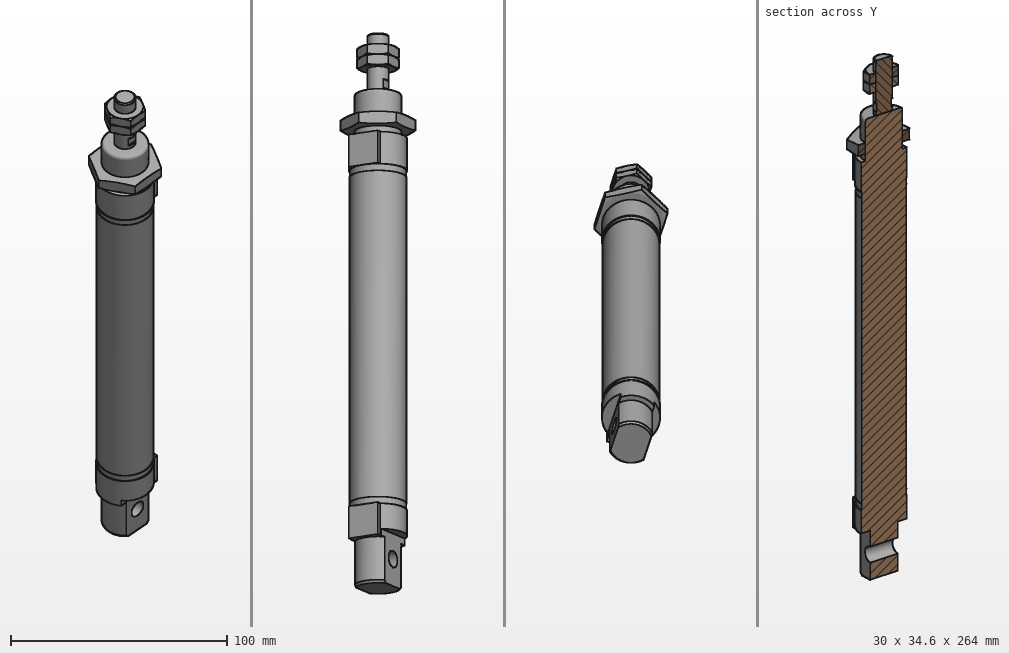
import cadquery as cq
import math

REAR_CAP_BOTTOM = 22.0
REAR_GROOVE_BOTTOM = 37.2
FRONT_CAP_TOP = 214.5
COLLAR_TOP = 236.0
ROD_TOP = 264.0

CAP_DIAMETER = 27.0
TUBE_DIAMETER = 26.5
GROOVE_DIAMETER = 26.1
GROOVE_WIDTH = 3.2
COLLAR_DIAMETER = 22.0
CLEVIS_FACE_DIAMETER = 20.3
CLEVIS_CHAMFER_HEIGHT = 1.3
COLLAR_FILLET = 1.5
CLEVIS_THICKNESS = 16.0
CLEVIS_FLAT_TOP = 25.0
PIN_HOLE_DIAMETER = 8.0
PIN_HOLE_HEIGHT = 13.0
PORT_PAD_WIDTH = 15.5
CAP_LENGTH = REAR_GROOVE_BOTTOM - REAR_CAP_BOTTOM
FRONT_GROOVE_BOTTOM = FRONT_CAP_TOP - CAP_LENGTH - GROOVE_WIDTH

ROD_DIAMETER = 10.0
ROD_TIP_DIAMETER = 8.7
WRENCH_FLAT_BOTTOM = 237.9
WRENCH_FLAT_HEIGHT = 4.2
WRENCH_FLAT_THICKNESS = 8.7

MOUNTING_NUT_FLATS = 30.0
MOUNTING_NUT_BOTTOM = 218.0
MOUNTING_NUT_HEIGHT = 5.8
ROD_NUT_FLATS = 17.0
ROD_NUT_BOTTOM = 248.0
ROD_NUT_HEIGHT = 5.0
ROD_NUT_COUNT = 2
NUT_CHAMFER_HEIGHT = 0.5


def cylinder(diameter, bottom, top):
    return cq.Workplane("XY", origin=(0, 0, bottom)).circle(diameter / 2).extrude(top - bottom)


def centred_box(x_size, y_size, bottom, top):
    return cq.Workplane("XY", origin=(0, 0, bottom)).rect(x_size, y_size).extrude(top - bottom)


def barrel():
    """Tube between two slightly larger caps, with a shallow groove at each end of the tube."""
    rear_cap = cylinder(CAP_DIAMETER, REAR_CAP_BOTTOM, REAR_GROOVE_BOTTOM)
    front_cap = cylinder(CAP_DIAMETER, FRONT_GROOVE_BOTTOM + GROOVE_WIDTH, FRONT_CAP_TOP)
    tube = cylinder(TUBE_DIAMETER, REAR_GROOVE_BOTTOM + GROOVE_WIDTH, FRONT_GROOVE_BOTTOM)
    grooved_core = cylinder(GROOVE_DIAMETER, REAR_GROOVE_BOTTOM, FRONT_GROOVE_BOTTOM + GROOVE_WIDTH)
    return grooved_core.union(tube).union(rear_cap).union(front_cap)


def port_pad(bottom):
    """Flat pad on the +Y side of a cap, level with the outside of the cap."""
    reach = CAP_DIAMETER / 2
    pad = cq.Workplane("XY", origin=(0, reach / 2, bottom))
    return pad.rect(PORT_PAD_WIDTH, reach).extrude(CAP_LENGTH)


def neck_profile():
    """Half section of the mounting collar and clevis stem, rounded at the top, chamfered below."""
    radius = COLLAR_DIAMETER / 2
    face_radius = CLEVIS_FACE_DIAMETER / 2
    return (
        cq.Workplane("XZ")
        .moveTo(0, 0)
        .lineTo(face_radius, 0)
        .lineTo(radius, CLEVIS_CHAMFER_HEIGHT)
        .lineTo(radius, COLLAR_TOP - COLLAR_FILLET)
        .radiusArc((radius - COLLAR_FILLET, COLLAR_TOP), -COLLAR_FILLET)
        .lineTo(0, COLLAR_TOP)
        .close()
    )


def clevis_cuts():
    """Material removed on both X sides to leave the flat clevis, and its pin hole."""
    outside = centred_box(2 * CAP_DIAMETER, 2 * CAP_DIAMETER, 0, CLEVIS_FLAT_TOP)
    sides = outside.cut(centred_box(CLEVIS_THICKNESS, 2 * CAP_DIAMETER, 0, CLEVIS_FLAT_TOP))
    pin_hole = (
        cq.Workplane("YZ")
        .center(0, PIN_HOLE_HEIGHT)
        .circle(PIN_HOLE_DIAMETER / 2)
        .extrude(CAP_DIAMETER, both=True)
    )
    return sides.union(pin_hole)


def make_housing():
    body = barrel().union(neck_profile().revolve(360, (0, 0, 0), (0, 1, 0)))
    body = body.union(port_pad(REAR_CAP_BOTTOM)).union(port_pad(FRONT_CAP_TOP - CAP_LENGTH))
    return body.cut(clevis_cuts())


def make_rod():
    """Rod standing on the collar face, with a chamfered tip and two wrench flats."""
    tip_chamfer = (ROD_DIAMETER - ROD_TIP_DIAMETER) / 2
    rod = cylinder(ROD_DIAMETER, COLLAR_TOP, ROD_TOP).faces(">Z").chamfer(tip_chamfer)
    flat_top = WRENCH_FLAT_BOTTOM + WRENCH_FLAT_HEIGHT
    around = centred_box(ROD_DIAMETER, ROD_DIAMETER, WRENCH_FLAT_BOTTOM, flat_top)
    core = centred_box(WRENCH_FLAT_THICKNESS, ROD_DIAMETER, WRENCH_FLAT_BOTTOM, flat_top)
    return rod.cut(around.cut(core))


def nut_envelope(flats, bottom, height):
    """Turned shape whose end cones take the hexagon's corners down to its inscribed circle."""
    inner = flats / 2
    corner = flats / math.sqrt(3)
    top = bottom + height
    outline = (
        cq.Workplane("XZ")
        .moveTo(0, bottom)
        .lineTo(inner, bottom)
        .lineTo(corner, bottom + NUT_CHAMFER_HEIGHT)
        .lineTo(corner, top - NUT_CHAMFER_HEIGHT)
        .lineTo(inner, top)
        .lineTo(0, top)
        .close()
    )
    return outline.revolve(360, (0, 0, 0), (0, 1, 0))


def make_nut(flats, bore, bottom, height):
    """Hexagon nut with two flats facing +X and -X."""
    hexagon = (
        cq.Workplane("XY", origin=(0, 0, bottom))
        .transformed(rotate=(0, 0, 90))
        .polygon(6, 2 * flats / math.sqrt(3))
        .extrude(height)
    )
    nut = hexagon.intersect(nut_envelope(flats, bottom, height))
    return nut.cut(cylinder(bore, bottom, bottom + height))


housing = make_housing()
rod = make_rod()
mounting_nut = make_nut(MOUNTING_NUT_FLATS, COLLAR_DIAMETER, MOUNTING_NUT_BOTTOM, MOUNTING_NUT_HEIGHT)
rod_nuts = [
    make_nut(ROD_NUT_FLATS, ROD_DIAMETER, ROD_NUT_BOTTOM + index * ROD_NUT_HEIGHT, ROD_NUT_HEIGHT)
    for index in range(ROD_NUT_COUNT)
]

result = cq.Compound.makeCompound(
    [housing.val(), rod.val(), mounting_nut.val(), *[nut.val() for nut in rod_nuts]]
)